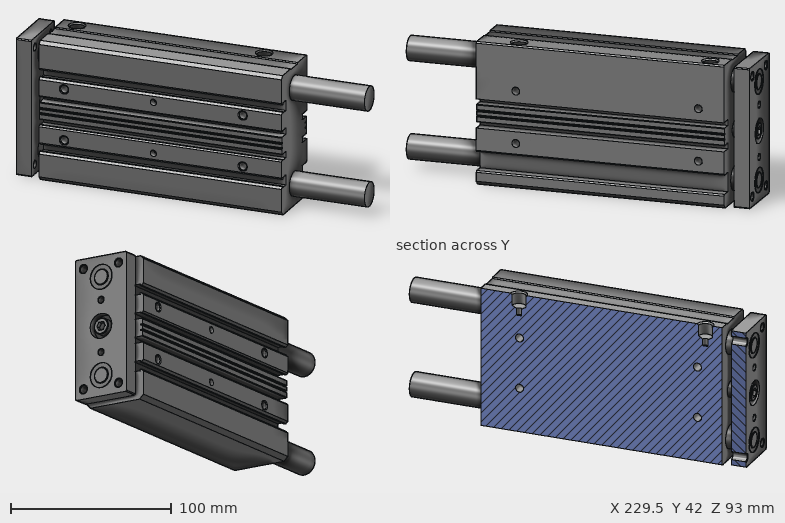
import cadquery as cq
import math


total_length = 229.5
plate_thickness = 10.0
plate_gap = 6.0
housing_length = 163.0
housing_start = plate_thickness + plate_gap
housing_end = housing_start + housing_length

housing_width = 42.0
housing_height = 93.0
half_width = housing_width / 2
half_height = housing_height / 2
front_top_chamfer = 2.0
front_bottom_chamfer = 2.8
back_top_chamfer = 1.0
back_bottom_chamfer = 2.5

slot_depth = 7.3
slot_height = 4.8
slot_offset = 24.8
slot_chamfer = 1.4
slot_undercut = 1.0
lip_thickness = 1.1
mount_slot_height = 12.5
mount_slot_offset = -31.0
mount_slot_chamfer = 1.0

channel_height = 18.8
channel_chamfer = 1.0
channel_undercut = 0.5
rib_block_height = 11.5
rib_setback = 0.7
rib_edge_chamfer = 0.5
rib_groove_width = 0.5
rib_groove_depth = 1.4
rib_groove_offset = 1.72

top_groove_width = 10.3
top_groove_depth = 0.7

guide_diameter = 16.0
guide_offset = 32.0
neck_diameter = 10.3
rod_tip_chamfer = 0.5
piston_diameter = 10.5
piston_end = 146.9
hex_across_flats = 5.3
hex_depth = 3.0

plate_width = 38.0
plate_height = 90.9
plate_chamfer = 0.7
guide_recess_depth = 0.5
piston_recess_depth = plate_thickness / 2
plate_hole_diameter = 5.0
plate_hole_mouth = 6.0
plate_hole_y = 13.0
plate_hole_z = 39.0

pin_hole_diameter = 4.1
plate_pin_hole_mouth = 4.5
pin_hole_depth = 5.5
pin_hole_z = 17.0
drill_point_angle = 118.0

mount_hole_diameter = 5.0
mount_hole_mouth = 6.2
mount_hole_spacing = 120.0
mount_hole_middle = 93.0

port_diameter = 9.2
port_mouth = 11.0
port_depth = 8.0
port_passage_diameter = 3.5
port_passage_depth = 3.5
port_y = 13.5
port_x_positions = (27.5, 153.3)

ALONG_X = cq.Vector(1, 0, 0)
ALONG_Y = cq.Vector(0, 1, 0)
DOWN = cq.Vector(0, 0, -1)


def x_cylinder(diameter, x_start, x_end, z):
    """Cylinder along X on the Y = 0 plane."""
    return cq.Workplane("YZ", origin=(x_start, 0, z)).circle(diameter / 2).extrude(x_end - x_start)


def x_bar(points):
    """Bar with the given (y, z) section, as long as the housing."""
    return cq.Workplane("YZ", origin=(housing_start, 0, 0)).polyline(points).close().extrude(housing_length)


def drill(start, direction, diameter, depth):
    """Plain cylindrical cutter."""
    return cq.Workplane(obj=cq.Solid.makeCylinder(diameter / 2, depth, start, direction))


def point_depth(diameter):
    """Length of the conical point of a drill."""
    return diameter / 2 / math.tan(math.radians(drill_point_angle / 2))


def pointed_drill(start, direction, diameter, depth):
    """Cylindrical cutter with a conical point."""
    point = cq.Solid.makeCone(
        diameter / 2, 0, point_depth(diameter), start + direction * depth, direction
    )
    return drill(start, direction, diameter, depth).union(cq.Workplane(obj=point))


def countersink(start, direction, mouth, diameter):
    """45 degree cutter that widens a hole to its mouth."""
    cone = cq.Solid.makeCone(mouth / 2, diameter / 2, (mouth - diameter) / 2, start, direction)
    return cq.Workplane(obj=cone)



def housing_blank():
    front, back = -half_width, half_width
    top, bottom = half_height, -half_height
    return x_bar([
        (front + front_top_chamfer, top),
        (back - back_top_chamfer, top),
        (back, top - back_top_chamfer),
        (back, bottom + back_bottom_chamfer),
        (back - back_bottom_chamfer, bottom),
        (front + front_bottom_chamfer, bottom),
        (front, bottom + front_bottom_chamfer),
        (front, top - front_top_chamfer),
    ])


def back_slot(z_middle, height):
    """Plain slot cutter in the +Y face."""
    floor = half_width - slot_depth
    half = height / 2
    return x_bar([
        (half_width, z_middle - half),
        (half_width, z_middle + half),
        (floor, z_middle + half),
        (floor, z_middle - half),
    ])


def back_slot_bevel(z_middle, height, chamfer):
    """Cutter for the 45 degree chamfers on both edges of a slot in the +Y face."""
    neck = half_width - chamfer
    half = height / 2
    return x_bar([
        (half_width, z_middle - half - chamfer),
        (half_width, z_middle + half + chamfer),
        (neck, z_middle + half),
        (neck, z_middle - half),
    ])


def lipped_slot(z_middle, height, chamfer, undercut):
    """Slot cutter in the -Y face: chamfered mouth, thin lips and a wider inside."""
    face = -half_width
    neck = face + chamfer
    lip_back = neck + lip_thickness
    floor = face + slot_depth
    half_neck = height / 2
    half_mouth = half_neck + chamfer
    half_inside = half_neck + undercut
    upper_profile = [
        (face, half_mouth),
        (neck, half_neck),
        (lip_back, half_neck),
        (lip_back, half_inside),
        (floor, half_inside),
    ]
    upper = [(y, z_middle + z) for y, z in upper_profile]
    lower = [(y, z_middle - z) for y, z in reversed(upper_profile)]
    return x_bar(upper + lower)


def rib(side, z_low, z_high):
    """One rib on the -Y side (side = -1) or the +Y side (side = 1), with chamfered edges."""
    crest = side * (half_width - rib_setback)
    shoulder = side * (half_width - rib_setback - rib_edge_chamfer)
    foot = side * (half_width - rib_setback - rib_groove_depth)
    return x_bar([
        (foot, z_low),
        (shoulder, z_low),
        (crest, z_low + rib_edge_chamfer),
        (crest, z_high - rib_edge_chamfer),
        (shoulder, z_high),
        (foot, z_high),
    ])


def rib_block(side):
    """Three ribs on a common base that stands on the channel floor."""
    foot = side * (half_width - rib_setback - rib_groove_depth)
    floor = side * (half_width - slot_depth)
    half_block = rib_block_height / 2
    groove_inner = rib_groove_offset - rib_groove_width / 2
    groove_outer = rib_groove_offset + rib_groove_width / 2
    block = x_bar([
        (floor, -half_block),
        (floor, half_block),
        (foot, half_block),
        (foot, -half_block),
    ])
    block = block.union(rib(side, -half_block, -groove_outer))
    block = block.union(rib(side, -groove_inner, groove_inner))
    return block.union(rib(side, groove_outer, half_block))


def top_groove():
    half_floor = top_groove_width / 2
    half_mouth = half_floor + top_groove_depth
    floor = half_height - top_groove_depth
    return x_bar([
        (-half_mouth, half_height),
        (half_mouth, half_height),
        (half_floor, floor),
        (-half_floor, floor),
    ])


def mount_hole(x, z):
    start = cq.Vector(x, -half_width, z)
    hole = drill(start, ALONG_Y, mount_hole_diameter, housing_width)
    return hole.union(countersink(start, ALONG_Y, mount_hole_mouth, mount_hole_diameter))


def air_port(x):
    start = cq.Vector(x, port_y, half_height)
    passage_length = port_depth + point_depth(port_diameter) + port_passage_depth
    return (
        pointed_drill(start, DOWN, port_diameter, port_depth)
        .union(countersink(start, DOWN, port_mouth, port_diameter))
        .union(drill(start, DOWN, port_passage_diameter, passage_length))
    )


def make_housing():
    housing = housing_blank().cut(top_groove())
    for z in (-slot_offset, slot_offset):
        housing = housing.cut(lipped_slot(z, slot_height, slot_chamfer, slot_undercut))
    housing = housing.cut(back_slot(mount_slot_offset, mount_slot_height))
    housing = housing.cut(back_slot_bevel(mount_slot_offset, mount_slot_height, mount_slot_chamfer))

    front_channel = lipped_slot(0, channel_height, channel_chamfer, channel_undercut)
    back_channel = back_slot(0, channel_height)
    housing = housing.cut(front_channel.cut(rib_block(-1)))
    housing = housing.cut(back_channel.cut(rib_block(1)))

    for z in (-pin_hole_z, pin_hole_z):
        for offset in (-mount_hole_spacing / 2, mount_hole_spacing / 2):
            housing = housing.cut(mount_hole(mount_hole_middle + offset, z))
        pin_start = cq.Vector(mount_hole_middle, -half_width, z)
        housing = housing.cut(pointed_drill(pin_start, ALONG_Y, pin_hole_diameter, pin_hole_depth))
    for x in port_x_positions:
        housing = housing.cut(air_port(x))

    for z in (-guide_offset, guide_offset):
        housing = housing.cut(x_cylinder(guide_diameter, housing_start, housing_end, z))
    return housing.cut(x_cylinder(piston_diameter, housing_start, piston_end, 0))



def make_plate():
    plate = (
        cq.Workplane("YZ")
        .rect(plate_width, plate_height)
        .extrude(plate_thickness)
        .edges("|X")
        .chamfer(plate_chamfer)
    )
    for z in (-guide_offset, guide_offset):
        plate = plate.cut(x_cylinder(guide_diameter, 0, guide_recess_depth, z))
        plate = plate.cut(x_cylinder(neck_diameter, 0, plate_thickness, z))
    plate = plate.cut(x_cylinder(guide_diameter, 0, piston_recess_depth, 0))
    plate = plate.cut(x_cylinder(piston_diameter, 0, plate_thickness, 0))

    for z in (-plate_hole_z, plate_hole_z):
        for y in (-plate_hole_y, plate_hole_y):
            start = cq.Vector(0, y, z)
            plate = plate.cut(drill(start, ALONG_X, plate_hole_diameter, plate_thickness))
            plate = plate.cut(countersink(start, ALONG_X, plate_hole_mouth, plate_hole_diameter))
    for z in (-pin_hole_z, pin_hole_z):
        start = cq.Vector(0, 0, z)
        plate = plate.cut(pointed_drill(start, ALONG_X, pin_hole_diameter, pin_hole_depth))
        plate = plate.cut(countersink(start, ALONG_X, plate_pin_hole_mouth, pin_hole_diameter))
    return plate



def make_guide_rod(z):
    """Guide rod with its shoulder against the plate and its neck through it."""
    neck = x_cylinder(neck_diameter, 0, plate_thickness, z).faces("<X").chamfer(rod_tip_chamfer)
    return x_cylinder(guide_diameter, plate_thickness, total_length, z).union(neck)


def make_piston_rod():
    """Piston rod flush with the plate, with a hexagon socket in its tip."""
    rod = x_cylinder(piston_diameter, 0, piston_end, 0).faces("<X").chamfer(rod_tip_chamfer)
    hex_across_corners = hex_across_flats / math.cos(math.pi / 6)
    socket = cq.Workplane("YZ").polygon(6, hex_across_corners).extrude(hex_depth)
    return rod.cut(socket)


housing = make_housing()
tool_plate = make_plate()
guide_rods = [make_guide_rod(z) for z in (-guide_offset, guide_offset)]
piston_rod = make_piston_rod()

result = cq.Compound.makeCompound([
    housing.val(),
    tool_plate.val(),
    *[rod.val() for rod in guide_rods],
    piston_rod.val(),
])